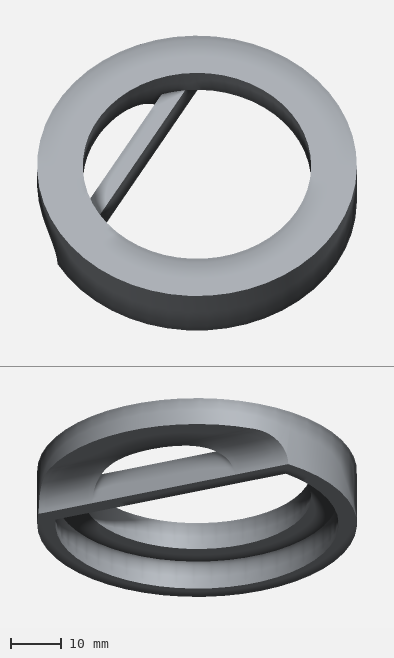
import cadquery as cq
import math

outer_diameter = 63.0
bore_diameter = 45.0
height = 11.7

notch_height = 6.0
notch_end_x = -16.5

wall_thickness = 3.6
pocket_depth = notch_height
pocket_diameter = outer_diameter - 2 * wall_thickness
wall_inner_x = notch_end_x + wall_thickness


def make_ring():
    return (
        cq.Workplane("XY")
        .circle(outer_diameter / 2)
        .circle(bore_diameter / 2)
        .extrude(height)
    )


def make_notch():
    outer_x = -outer_diameter
    round_start_x = notch_end_x - notch_height
    arc_middle = notch_height * math.cos(math.pi / 4)
    return (
        cq.Workplane("XZ")
        .moveTo(outer_x, 0)
        .lineTo(outer_x, notch_height)
        .lineTo(round_start_x, notch_height)
        .threePointArc((round_start_x + arc_middle, arc_middle), (notch_end_x, 0))
        .close()
        .extrude(outer_diameter, both=True)
    )


def make_cross_wall():
    slab = (
        cq.Workplane("XY")
        .box(wall_thickness, outer_diameter, pocket_depth, centered=(False, True, False))
        .translate((notch_end_x, 0, 0))
    )
    disc = cq.Workplane("XY").circle(outer_diameter / 2).extrude(height)
    return slab.intersect(disc)


def make_pocket():
    disc = cq.Workplane("XY").circle(pocket_diameter / 2).extrude(pocket_depth)
    inner_side = (
        cq.Workplane("XY")
        .box(outer_diameter, outer_diameter, pocket_depth, centered=(False, True, False))
        .translate((wall_inner_x, 0, 0))
    )
    return disc.intersect(inner_side)


result = make_ring().cut(make_notch()).union(make_cross_wall()).cut(make_pocket())